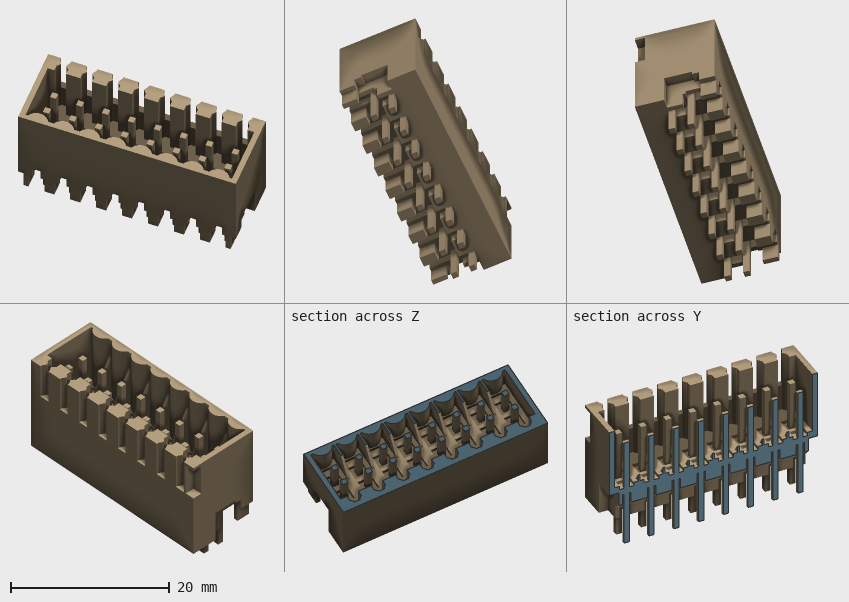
import cadquery as cq

positions = 8
pitch = 3.5
row_pitch = 2.5
pin_side = 0.8
pin_top = 11.95
pin_bottom = -3.5

length = 29.4
depth = 10.5
height = 14.2
first_x = (length - (positions - 1) * pitch) / 2
pin_xs = [first_x + i * pitch for i in range(positions)]
front_row_y = 3.75
rear_row_y = front_row_y + row_pitch

end_wall = 0.75
front_wall = 0.6
cavity_back = 8.4
floor_z = 5.5

gap_width = 1.6
throat_width = 0.76
flare_width = 1.4
gap_taper_start = 9.2
throat_front = 9.6
throat_back = 9.7
gap_flare_end = 10.25
throat_sill_y = 9.65
sill_z = 9.2

window_depth = 1.35
window_inset = 1.4
window_top = 13.75

bump_width = 2.75
bump_reach = 0.83

recess_depth = 0.5
socket_side = 2.0
latch_width = 2.75
latch_front = 1.5
latch_back = 2.2

rib_width = 0.32
rib_back = 4.35
rib_height = 6.0

front_leg_back = 2.05
channel_z = 2.5
channel_step_z = 2.05
channel_step_y = 4.2
channel_back = 4.6
wide_slot = 2.15
narrow_slot = 1.12
narrow_slot_top = 4.0
rear_slot_top = 1.5
end_recess = 1.3
end_recess_back = 6.65
end_recess_top = 4.45
end_recess_step_y = 3.0
end_recess_step_z = 4.0
leg_inset = 0.72


def box(x0, x1, y0, y1, z0, z1):
    """Box given by its limits along each axis."""
    return cq.Workplane("XY").box(x1 - x0, y1 - y0, z1 - z0, centered=False).translate((x0, y0, z0))


def centered_box(x, width, y0, y1, z0, z1):
    """Box centred on x."""
    return box(x - width / 2, x + width / 2, y0, y1, z0, z1)


def side_prism(points, x0, x1):
    """Prism along X from an outline of (y, z) points."""
    return cq.Workplane("YZ").polyline(points).close().extrude(x1 - x0).translate((x0, 0, 0))


def cavity():
    """Rectangular pocket that receives the mating plug."""
    return box(end_wall, length - end_wall, front_wall, cavity_back, floor_z, height)


def keying_gap(x):
    """Waisted gap in the rear wall above floor level, with a sill left behind its throat."""
    right_side = [
        (gap_width / 2, cavity_back),
        (gap_width / 2, gap_taper_start),
        (flare_width / 2, gap_taper_start),
        (throat_width / 2, throat_front),
        (throat_width / 2, throat_back),
        (flare_width / 2, gap_flare_end),
        (flare_width / 2, depth),
    ]
    left_side = [(-dx, y) for dx, y in reversed(right_side)]
    gap = cq.Workplane("XY").polyline(right_side + left_side).close()
    gap = gap.extrude(height - floor_z).translate((x, 0, floor_z))
    sill = centered_box(x, gap_width, throat_sill_y, depth, floor_z, sill_z)
    return gap.cut(sill)


def corner_window():
    """Window cut into the left rear corner, ending short of the first keying gap."""
    return box(0, window_inset, depth - window_depth, depth, sill_z, window_top)


def front_bump(x):
    """Circular-segment bump on the front wall, from the cavity floor to the rim."""
    bump = (
        cq.Workplane("XY")
        .moveTo(x - bump_width / 2, front_wall)
        .threePointArc((x, front_wall + bump_reach), (x + bump_width / 2, front_wall))
        .close()
    )
    return bump.extrude(height - floor_z).translate((0, 0, floor_z))


def floor_recesses(x):
    """Square recess around each pin and a flat one behind the front bump."""
    bottom = floor_z - recess_depth
    recesses = centered_box(x, latch_width, latch_front, latch_back, bottom, floor_z)
    for y in (front_row_y, rear_row_y):
        recesses = recesses.union(
            centered_box(x, socket_side, y - socket_side / 2, y + socket_side / 2, bottom, floor_z)
        )
    return recesses


def rib(x):
    """Gusset falling from the front wall to the cavity floor."""
    outline = [(front_wall, floor_z), (rib_back, floor_z), (front_wall, floor_z + rib_height)]
    return side_prism(outline, x - rib_width / 2, x + rib_width / 2)


def channel():
    """Stepped channel under the front pin row, open at both ends."""
    outline = [
        (front_leg_back, 0),
        (front_leg_back, channel_z),
        (channel_step_y, channel_z),
        (channel_step_y, channel_step_z),
        (channel_back, channel_step_z),
        (channel_back, 0),
    ]
    return side_prism(outline, 0, length)


def pin_slots(x):
    """Stepped slot through the front wall and a low slot leading to the rear pin."""
    front_row_back = front_row_y + pin_side / 2
    rear_row_back = rear_row_y + pin_side / 2
    slots = centered_box(x, wide_slot, 0, front_leg_back, 0, channel_z)
    slots = slots.union(centered_box(x, narrow_slot, 0, front_row_back, 0, narrow_slot_top))
    return slots.union(centered_box(x, narrow_slot, channel_back, rear_row_back, 0, rear_slot_top))


def end_cutout():
    """Relief at the left end: stepped recess plus the setback of the front leg."""
    outline = [
        (front_leg_back, 0),
        (front_leg_back, end_recess_step_z),
        (end_recess_step_y, end_recess_step_z),
        (end_recess_step_y, end_recess_top),
        (end_recess_back, end_recess_top),
        (end_recess_back, 0),
    ]
    leg_setback = box(0, leg_inset, 0, front_leg_back, 0, channel_z)
    return side_prism(outline, 0, end_recess).union(leg_setback)


def pin(x, y):
    """Straight square pin running from below the housing up into the cavity."""
    return centered_box(x, pin_side, y - pin_side / 2, y + pin_side / 2, pin_bottom, pin_top)


housing = box(0, length, 0, depth, 0, height).cut(cavity()).cut(corner_window()).cut(channel())
left_cutout = end_cutout()
right_cutout = left_cutout.mirror("YZ").translate((length, 0, 0))
housing = housing.cut(left_cutout).cut(right_cutout)

for pin_x in pin_xs:
    housing = housing.cut(keying_gap(pin_x)).cut(floor_recesses(pin_x)).cut(pin_slots(pin_x))
    housing = housing.union(front_bump(pin_x))

for pin_x in pin_xs[:-1]:
    housing = housing.union(rib(pin_x + pitch / 2))

for pin_x in pin_xs:
    for pin_y in (front_row_y, rear_row_y):
        housing = housing.union(pin(pin_x, pin_y))

result = housing